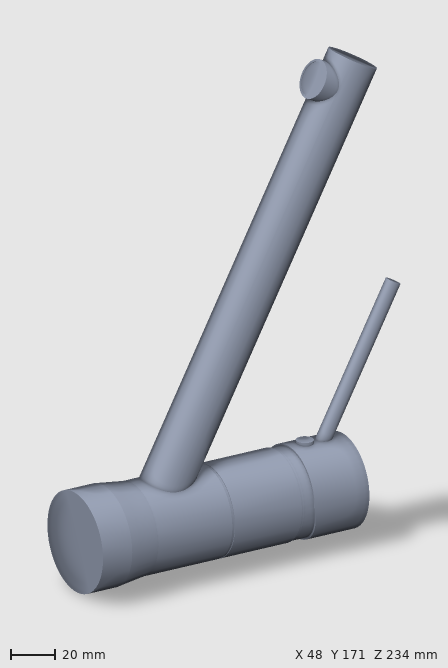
import cadquery as cq
import math

base_radius = 23.99
base_length = 15.5
taper_end = 30.5
body_radius = 22.0
neck_radius = 21.5
handle_radius = 22.5
handle_front = 112.8
body_length = 141.5
groove_starts = (69.5, 106.2)
groove_width = 1.5
groove_depth = 0.35

handle_relief = 3.5

lean_angle = 28.0
lean = math.radians(lean_angle)
spout_radius = 12.0
overall_height = 234.0
spout_end_z = overall_height - base_radius - spout_radius * math.sin(lean)
spout_end_y = 146.5

outlet_radius = 9.4
outlet_reach = 15.7
outlet_from_end = 15.0
outlet_recess_radius = 8.2
outlet_recess_depth = 0.2

lever_radius = 3.63
overall_depth = 171.0
lever_end_y = overall_depth - lever_radius * math.cos(lean)
lever_end_z = 91.3
lever_root_z = 16.4
button_radius = 4.1
button_y = 121.2
button_root_z = 18.7
button_top_z = 23.9

along_spout = cq.Vector(0, math.sin(lean), math.cos(lean))
out_of_spout = cq.Vector(0, -math.cos(lean), math.sin(lean))


def rod(radius, start, direction, length):
    return cq.Workplane(cq.Solid.makeCylinder(radius, length, start, direction))


def leaning_rod(radius, end_y, end_z, root_z):
    """Cylinder leaning back, given by its top centre and root height."""
    length = (end_z - root_z) / math.cos(lean)
    start = cq.Vector(0, end_y, end_z) - along_spout * length
    return rod(radius, start, along_spout, length)


def make_body():
    """Revolved base, taper, grooved body, neck and handle."""
    profile = (
        cq.Workplane("XY")
        .moveTo(0, 0)
        .lineTo(base_radius, 0)
        .lineTo(base_radius, base_length)
        .lineTo(body_radius, taper_end)
    )
    for start in groove_starts:
        profile = (
            profile.lineTo(body_radius, start)
            .lineTo(body_radius - groove_depth, start)
            .lineTo(body_radius - groove_depth, start + groove_width)
            .lineTo(body_radius, start + groove_width)
        )
    profile = (
        profile.lineTo(neck_radius, groove_starts[-1] + groove_width)
        .lineTo(neck_radius, handle_front)
        .lineTo(handle_radius, handle_front)
        .lineTo(handle_radius, body_length)
        .lineTo(0, body_length)
        .close()
    )
    return profile.revolve(360, (0, 0, 0), (0, 1, 0))


def make_handle_relief():
    """Ring around the body, limited to a wedge below the axis."""
    wedge = (
        cq.Workplane("YZ")
        .polyline([
            (handle_front, 0),
            (handle_front, -handle_radius),
            (handle_front + handle_relief, -handle_radius),
        ])
        .close()
        .extrude(handle_radius, both=True)
    )
    core = rod(neck_radius, cq.Vector(0, 0, 0), cq.Vector(0, 1, 0), body_length)
    return wedge.cut(core)


def make_outlet():
    spout_end = cq.Vector(0, spout_end_y, spout_end_z)
    start = spout_end - along_spout * outlet_from_end
    recess_start = start + out_of_spout * (outlet_reach - outlet_recess_depth)
    outlet = rod(outlet_radius, start, out_of_spout, outlet_reach)
    recess = rod(outlet_recess_radius, recess_start, out_of_spout, outlet_recess_depth)
    return outlet.cut(recess)


spout = leaning_rod(spout_radius, spout_end_y, spout_end_z, 0)
lever = leaning_rod(lever_radius, lever_end_y, lever_end_z, lever_root_z)
button = rod(
    button_radius,
    cq.Vector(0, button_y, button_root_z),
    cq.Vector(0, 0, 1),
    button_top_z - button_root_z,
)

result = make_body().cut(make_handle_relief())
for piece in (spout, make_outlet(), lever, button):
    result = result.union(piece)